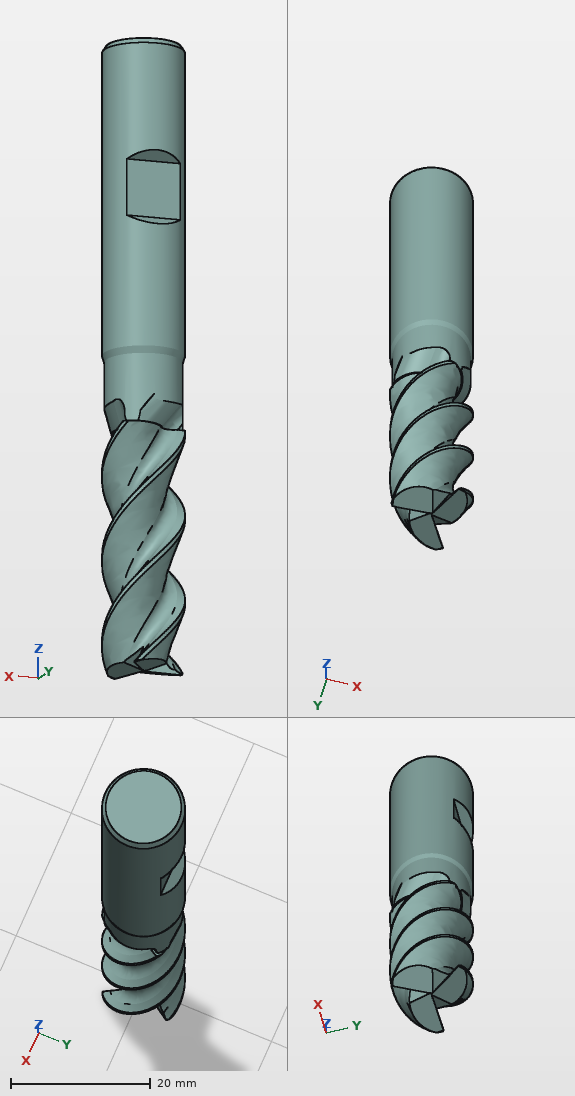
import cadquery as cq
import math

total_length = 93.0
shank_radius = 6.0
cutter_length = 36.0

neck_radius = 5.7
neck_top_z = 46.0
shoulder_height = 1.0
end_chamfer_height = 0.8
end_chamfer_width = 0.6

flat_depth = 1.6
flat_length = 8.4
flat_flank_rise = 1.3
flat_centre_z = 70.8

tooth_count = 3
tooth_pitch = 360.0 / tooth_count
cutter_radius = shank_radius
helix_lead = 2 * math.pi * cutter_radius
first_edge_angle = 57.6

land_angle = 8.5
back_mid_radius = 4.8
back_mid_angle = 36.0
gullet_start_radius = 3.4
gullet_start_angle = 75.0
core_radius = 3.1
core_angle = 94.0
rake_start_radius = 4.8
rake_start_angle = 115.0

end_relief_angle = 14.0
end_dish_depth = 0.14
corner_chamfer = 0.3
gash_rise_angle = 42.0
gash_rake_angle = 14.0
gash_opening_angle = 58.0

runout_height = 7.4
runout_slope = 0.8
runout_angle = 120.0
runout_lag = 5.0

tip_radius = cutter_radius - corner_chamfer
cut_reach = 2 * tip_radius


def polar(radius, angle, z=0.0):
    turn = math.radians(angle)
    return cq.Vector(radius * math.cos(turn), radius * math.sin(turn), z)


def edge_angles(z):
    """Directions of the cutting edges at height z."""
    turned = first_edge_angle + 360.0 * z / helix_lead
    return [turned + i * tooth_pitch for i in range(tooth_count)]


def tooth_curves(edge_angle):
    """Outline from one cutting edge to the next: land, tooth back, gullet and rake face."""
    edge = polar(cutter_radius, edge_angle)
    land_mid = polar(cutter_radius, edge_angle + land_angle / 2)
    land_end = polar(cutter_radius, edge_angle + land_angle)
    back_mid = polar(back_mid_radius, edge_angle + back_mid_angle)
    gullet_start = polar(gullet_start_radius, edge_angle + gullet_start_angle)
    core_point = polar(core_radius, edge_angle + core_angle)
    rake_start = polar(rake_start_radius, edge_angle + rake_start_angle)
    next_edge = polar(cutter_radius, edge_angle + tooth_pitch)
    return [
        cq.Edge.makeThreePointArc(edge, land_mid, land_end),
        cq.Edge.makeThreePointArc(land_end, back_mid, gullet_start),
        cq.Edge.makeThreePointArc(gullet_start, core_point, rake_start),
        cq.Edge.makeLine(rake_start, next_edge),
    ]


def tetrahedron(a, b, c, d):
    triangles = [(a, b, c), (a, b, d), (b, c, d), (a, c, d)]
    faces = [cq.Face.makeFromWires(cq.Wire.makePolygon(t, close=True)) for t in triangles]
    return cq.Solid.makeSolid(cq.Shell.makeShell(faces))


def end_relief(edge_angle):
    """Material under the end face that climbs from one cutting edge back to the next."""
    next_angle = edge_angle + tooth_pitch
    behind_edge = cut_reach * math.sin(math.radians(tooth_pitch))
    climb = behind_edge * math.tan(math.radians(end_relief_angle))
    return tetrahedron(
        cq.Vector(0, 0, end_dish_depth),
        polar(cut_reach, edge_angle, -end_dish_depth),
        polar(cut_reach, next_angle, -end_dish_depth),
        polar(cut_reach, next_angle, climb),
    )


def end_gash(edge_angle):
    """Wedge ahead of a cutting edge, growing outward from the axis."""
    height = cut_reach * math.tan(math.radians(gash_rise_angle))
    width = height * math.tan(math.radians(gash_opening_angle))
    outer = polar(cut_reach, edge_angle)
    ahead = polar(width, edge_angle - 90.0)
    behind = polar(height * math.tan(math.radians(gash_rake_angle)), edge_angle + 90.0, height)
    return tetrahedron(cq.Vector(0, 0, 0), outer, outer + behind, outer + ahead)


def end_dish():
    """Shallow cone that makes the cutting end hollow towards the axis."""
    return (
        cq.Workplane("XZ")
        .moveTo(0, -end_dish_depth)
        .lineTo(0, end_dish_depth)
        .lineTo(cut_reach, -end_dish_depth)
        .close()
        .revolve(360, (0, 0, 0), (0, 1, 0))
    )


def corner_ring():
    """Ring whose sloping inside face chamfers the outer corners of the teeth."""
    return (
        cq.Workplane("XZ")
        .moveTo(tip_radius, 0)
        .lineTo(cut_reach, 0)
        .lineTo(cut_reach, corner_chamfer)
        .lineTo(cutter_radius, corner_chamfer)
        .close()
        .revolve(360, (0, 0, 0), (0, 1, 0))
    )


def make_cutter():
    """Fluted cutting part with its ground end."""
    curves = [curve for angle in edge_angles(0) for curve in tooth_curves(angle)]
    outline = cq.Wire.assembleEdges(curves)
    twist = 360.0 * cutter_length / helix_lead
    teeth = cq.Solid.extrudeLinearWithRotation(
        outline, [], cq.Vector(0, 0, 0), cq.Vector(0, 0, cutter_length), twist
    )
    cutter = cq.Workplane(obj=teeth)
    for angle in edge_angles(0):
        cutter = cutter.cut(cq.Workplane(obj=end_relief(angle)))
        cutter = cutter.cut(cq.Workplane(obj=end_gash(angle)))
    return cutter.cut(end_dish()).cut(corner_ring())


def runout(tooth_angle):
    """Flute space behind one tooth, carried straight up and outward until it leaves the neck."""
    edge_angle = tooth_angle + runout_lag
    gap_curves = tooth_curves(edge_angle)[1:]
    gap_start = gap_curves[0].startPoint()
    gap_end = gap_curves[-1].endPoint()
    outer_start = polar(cut_reach, edge_angle + land_angle)
    outer_mid = polar(cut_reach, edge_angle + (land_angle + tooth_pitch) / 2)
    outer_end = polar(cut_reach, edge_angle + tooth_pitch)
    outer_curves = [
        cq.Edge.makeLine(gap_end, outer_end),
        cq.Edge.makeThreePointArc(outer_end, outer_mid, outer_start),
        cq.Edge.makeLine(outer_start, gap_start),
    ]
    gap = cq.Wire.assembleEdges(gap_curves + outer_curves)
    travel = polar(runout_slope * runout_height, edge_angle + runout_angle, runout_height)
    return cq.Solid.extrudeLinear(gap, [], travel).translate(cq.Vector(0, 0, cutter_length))


def clamping_flat():
    """Notch with sloping flanks that run on past the shank surface."""
    floor_y = shank_radius - flat_depth
    open_y = shank_radius + flat_depth
    half_floor = flat_length / 2
    half_open = half_floor + 2 * flat_flank_rise
    return (
        cq.Workplane("YZ")
        .moveTo(floor_y, flat_centre_z - half_floor)
        .lineTo(open_y, flat_centre_z - half_open)
        .lineTo(open_y, flat_centre_z + half_open)
        .lineTo(floor_y, flat_centre_z + half_floor)
        .close()
        .extrude(shank_radius, both=True)
    )


def make_shank():
    """Shank and neck, seated on the cutter's upper face."""
    shank = (
        cq.Workplane("YZ")
        .moveTo(0, cutter_length)
        .lineTo(-neck_radius, cutter_length)
        .lineTo(-neck_radius, neck_top_z)
        .lineTo(-shank_radius, neck_top_z + shoulder_height)
        .lineTo(-shank_radius, total_length - end_chamfer_height)
        .lineTo(-(shank_radius - end_chamfer_width), total_length)
        .lineTo(0, total_length)
        .close()
        .revolve(360, (0, 0, 0), (0, 1, 0))
    )
    shank = shank.cut(clamping_flat())
    for angle in edge_angles(cutter_length):
        shank = shank.cut(cq.Workplane(obj=runout(angle)))
    return shank


cutter = make_cutter()
shank = make_shank()
result = cq.Compound.makeCompound([cutter.solids().val(), shank.solids().val()])